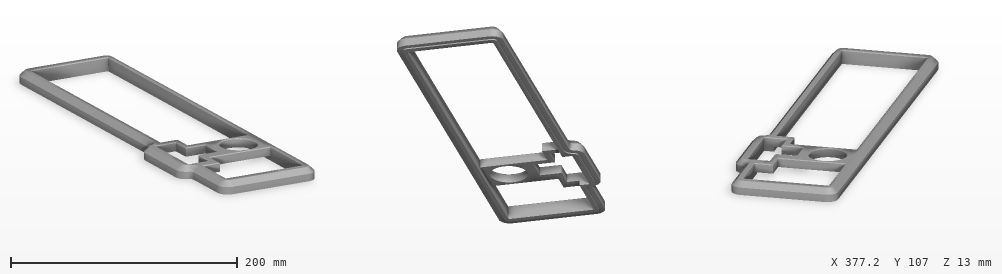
import cadquery as cq
import math

length = 377.2
thickness = 13.0
frame_top = 53.5
frame_bottom = -43.0
bump_bottom = -53.5
half_length = length / 2

corner_radius = 10.0
bevel = 5.0

foot_height = 1.0
foot_inset = 5.3

bump_middle = 94.3
bump_half_width = 37.7
blend_radius = 4.0

window_end = 177.3
window_top = 44.5
window_bottom = -33.5
lip_corner_radius = 2.0

bridge_thickness = 8.3
bridge_left = 77.5
bridge_right = 117.5
surround_left = 59.0
surround_right = 135.8
surround_top = -16.5

hole_diameter = 33.5
hole_x = 97.5
hole_y = 23.5

neck_left = 83.7
neck_right = 106.5
neck_top = -2.5
base_left = 65.5
base_right = 125.5
base_top = -22.3
base_bottom = -42.5

rim_chamfer = 0.8


def box_between(left, right, bottom, top, height=thickness):
    """Block standing on Z = 0 between two X and two Y positions."""
    return (
        cq.Workplane("XY")
        .center((left + right) / 2, (bottom + top) / 2)
        .rect(right - left, top - bottom)
        .extrude(height)
    )


def outer_block(inset, height):
    """Rounded frame outline with the bump, moved inward by the inset and extruded from Z = 0."""
    round_radius = corner_radius - inset
    hollow_radius = blend_radius + inset
    lower_edge = frame_bottom + inset
    upper_edge = frame_top - inset
    bump_edge = bump_bottom + inset
    end = half_length - inset

    arc_x = bump_half_width - corner_radius
    arc_y = bump_edge + round_radius
    blend_y = lower_edge - hollow_radius
    reach = round_radius + hollow_radius
    blend_x = arc_x + math.sqrt(reach**2 - (arc_y - blend_y) ** 2)
    join_angle = math.atan2(blend_y - arc_y, blend_x - arc_x)
    join_x = arc_x + round_radius * math.cos(join_angle)
    join_y = arc_y + round_radius * math.sin(join_angle)

    right_tangent = end - round_radius
    upper_tangent = upper_edge - round_radius
    lower_tangent = lower_edge + round_radius
    outline = (
        cq.Workplane("XY")
        .moveTo(-right_tangent, lower_edge)
        .lineTo(bump_middle - blend_x, lower_edge)
        .tangentArcPoint((bump_middle - join_x, join_y), relative=False)
        .tangentArcPoint((bump_middle - arc_x, bump_edge), relative=False)
        .lineTo(bump_middle + arc_x, bump_edge)
        .tangentArcPoint((bump_middle + join_x, join_y), relative=False)
        .tangentArcPoint((bump_middle + blend_x, lower_edge), relative=False)
        .lineTo(right_tangent, lower_edge)
        .tangentArcPoint((end, lower_tangent), relative=False)
        .lineTo(end, upper_tangent)
        .tangentArcPoint((right_tangent, upper_edge), relative=False)
        .lineTo(-right_tangent, upper_edge)
        .tangentArcPoint((-end, upper_tangent), relative=False)
        .lineTo(-end, lower_tangent)
        .tangentArcPoint((-right_tangent, lower_edge), relative=False)
        .close()
    )
    return outline.extrude(height)


def outer_body():
    """Beveled frame block standing on the inset foot."""
    frame = outer_block(0, thickness - foot_height).translate((0, 0, foot_height))
    frame = frame.faces(">Z").chamfer(bevel)
    return frame.union(outer_block(foot_inset, foot_height))


def windows():
    """Both large windows: sharp corners beside the bridge, rounded end corners in the rim below."""
    lip_height = thickness - bridge_thickness
    lower = box_between(-window_end, window_end, window_bottom, window_top, lip_height)
    lower = lower.edges("|Z").fillet(lip_corner_radius)
    upper = box_between(-window_end, window_end, window_bottom, window_top, bridge_thickness)
    bridge = box_between(bridge_left, bridge_right, window_bottom, window_top, bridge_thickness)
    surround = box_between(surround_left, surround_right, window_bottom, surround_top, bridge_thickness)
    upper = upper.cut(bridge).cut(surround).translate((0, 0, lip_height))
    return lower.union(upper)


def t_opening():
    """T-shaped opening through the bridge."""
    neck = box_between(neck_left, neck_right, base_bottom, neck_top)
    base = box_between(base_left, base_right, base_bottom, base_top)
    return neck.union(base)


def round_hole():
    """Round opening through the bridge."""
    return cq.Workplane("XY").center(hole_x, hole_y).circle(hole_diameter / 2).extrude(thickness)


def chamfer_opening_rims(plate):
    """Chamfer the upper edges of all openings, leaving the outer bevel alone."""
    openings = plate.faces(">Z").val().innerWires()
    edges = [edge for wire in openings for edge in wire.Edges()]
    return plate.newObject(edges).chamfer(rim_chamfer)


result = outer_body().cut(windows()).cut(t_opening()).cut(round_hole())
result = chamfer_opening_rims(result)